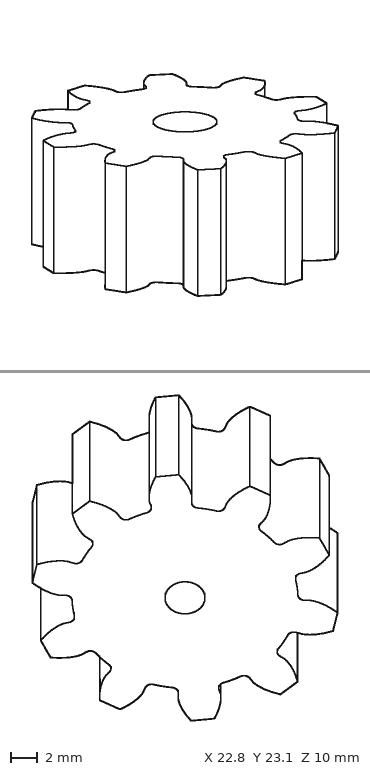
import cadquery as cq
import math

TOOTH_COUNT = 10
PRESSURE_ANGLE = math.radians(20)
PITCH_RADIUS = 10.0
TIP_RADIUS = 11.56
ROOT_RADIUS = 8.5
ROOT_FILLET = 0.5
FACE_WIDTH = 10.0
INVOLUTE_STEPS = 8

BORE_DIAMETER = 3.0
COUNTERBORE_DIAMETER = 4.8
COUNTERBORE_DEPTH = 2.0

BASE_RADIUS = PITCH_RADIUS * math.cos(PRESSURE_ANGLE)
TOOTH_PITCH = 2 * math.pi / TOOTH_COUNT


def involute_angle(roll):
    """Polar angle an involute has swept after unrolling from the base circle by this angle."""
    return roll - math.atan(roll)


TIP_ROLL = math.sqrt((TIP_RADIUS / BASE_RADIUS) ** 2 - 1)
BASE_HALF_ANGLE = TOOTH_PITCH / 4 + involute_angle(math.tan(PRESSURE_ANGLE))
TIP_HALF_ANGLE = BASE_HALF_ANGLE - involute_angle(TIP_ROLL)

FILLET_CENTRE_RADIUS = ROOT_RADIUS + ROOT_FILLET
FILLET_CENTRE_ANGLE = BASE_HALF_ANGLE + math.asin(ROOT_FILLET / FILLET_CENTRE_RADIUS)
FILLET_TOP_RADIUS = math.sqrt(FILLET_CENTRE_RADIUS**2 - ROOT_FILLET**2)

TO_ROOT = FILLET_CENTRE_ANGLE + math.pi
TO_FLANK = BASE_HALF_ANGLE + 3 * math.pi / 2
TO_MIDDLE = (TO_ROOT + TO_FLANK) / 2

FIRST_TOOTH_ANGLE = math.pi / 2 - TIP_HALF_ANGLE

TRAILING = -1
LEADING = 1


def polar(radius, angle):
    return (radius * math.cos(angle), radius * math.sin(angle))


def fillet_points(tooth_angle, side):
    """Root end, middle and flank end of the fillet on one side of a tooth."""
    centre_x, centre_y = polar(FILLET_CENTRE_RADIUS, tooth_angle + side * FILLET_CENTRE_ANGLE)
    offset_x, offset_y = polar(ROOT_FILLET, tooth_angle + side * TO_MIDDLE)
    root_end = polar(ROOT_RADIUS, tooth_angle + side * FILLET_CENTRE_ANGLE)
    flank_end = polar(FILLET_TOP_RADIUS, tooth_angle + side * BASE_HALF_ANGLE)
    return root_end, (centre_x + offset_x, centre_y + offset_y), flank_end


def involute_points(tooth_angle, side):
    """Points on one flank, from the base circle out to the tip."""
    points = []
    for step in range(INVOLUTE_STEPS + 1):
        roll = TIP_ROLL * step / INVOLUTE_STEPS
        radius = BASE_RADIUS * math.sqrt(1 + roll**2)
        points.append(polar(radius, tooth_angle + side * (BASE_HALF_ANGLE - involute_angle(roll))))
    return points


def add_tooth(outline, tooth_angle):
    """Continue the outline over one tooth and along the root gap that follows it."""
    _, trailing_middle, trailing_flank_end = fillet_points(tooth_angle, TRAILING)
    leading_root_end, leading_middle, leading_flank_end = fillet_points(tooth_angle, LEADING)
    trailing_flank = involute_points(tooth_angle, TRAILING)
    leading_flank = involute_points(tooth_angle, LEADING)[::-1]
    gap_middle = polar(ROOT_RADIUS, tooth_angle + TOOTH_PITCH / 2)
    gap_end = polar(ROOT_RADIUS, tooth_angle + TOOTH_PITCH - FILLET_CENTRE_ANGLE)
    return (
        outline
        .threePointArc(trailing_middle, trailing_flank_end)
        .lineTo(*trailing_flank[0])
        .spline(trailing_flank[1:], includeCurrent=True)
        .lineTo(*leading_flank[0])
        .spline(leading_flank[1:], includeCurrent=True)
        .lineTo(*leading_flank_end)
        .threePointArc(leading_middle, leading_root_end)
        .threePointArc(gap_middle, gap_end)
    )


def gear_body():
    start = polar(ROOT_RADIUS, FIRST_TOOTH_ANGLE - FILLET_CENTRE_ANGLE)
    outline = cq.Workplane("XY").moveTo(*start)
    for tooth in range(TOOTH_COUNT):
        outline = add_tooth(outline, FIRST_TOOTH_ANGLE + tooth * TOOTH_PITCH)
    return outline.close().extrude(FACE_WIDTH)


result = (
    gear_body()
    .faces(">Z")
    .workplane(origin=(0, 0, FACE_WIDTH))
    .cboreHole(BORE_DIAMETER, COUNTERBORE_DIAMETER, COUNTERBORE_DEPTH)
)